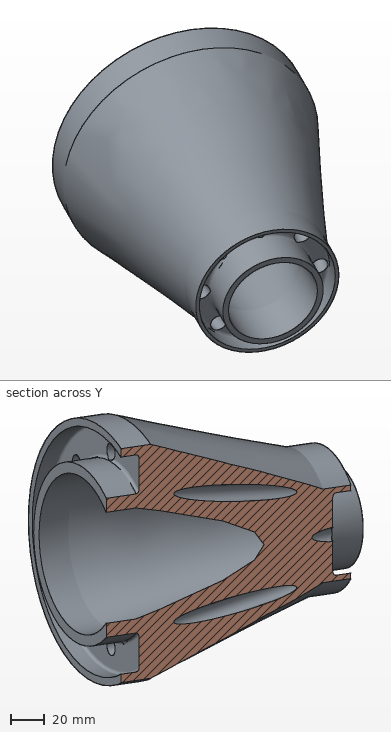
import cadquery as cq


total_length = 175.0
spigot_projection = 10.0
flange_width = 20.0
collar_width = 18.7
recess_depth = 12.0
entry_bore_depth = 20.0

flange_diameter = 160.0
recess_diameter = 150.2
spigot_diameter = 110.0
entry_bore_diameter = 96.8
collar_diameter = 90.0
nose_recess_diameter = 85.4
nose_diameter = 63.0
exit_bore_diameter = 55.8
duct_entry_circle_diameter = 120.0
duct_diameter = 10.2

recess_fillet = 2.0
flank_sag = 0.7
duct_count = 8

flange_start = spigot_projection
flange_end = flange_start + flange_width
recess_floor = flange_start + recess_depth
collar_end = total_length - spigot_projection
collar_start = collar_end - collar_width
nose_floor = collar_end - recess_depth

duct_entry_radius = duct_entry_circle_diameter / 2
duct_exit_radius = (nose_recess_diameter + nose_diameter) / 4


def make_body():
    """Revolve the solid outer outline, with a slightly concave flank."""
    flank_middle = (
        (flange_end + collar_start) / 2,
        (flange_diameter + collar_diameter) / 4 - flank_sag,
    )
    outline = (
        cq.Workplane("XY")
        .lineTo(0, spigot_diameter / 2)
        .lineTo(flange_start, spigot_diameter / 2)
        .lineTo(flange_start, flange_diameter / 2)
        .lineTo(flange_end, flange_diameter / 2)
        .threePointArc(flank_middle, (collar_start, collar_diameter / 2))
        .lineTo(collar_end, collar_diameter / 2)
        .lineTo(collar_end, nose_diameter / 2)
        .lineTo(total_length, nose_diameter / 2)
        .lineTo(total_length, 0)
        .close()
    )
    return outline.revolve(360, (0, 0, 0), (1, 0, 0))


def make_bore():
    """Straight entry, tapered middle and straight exit of the central bore."""
    outline = (
        cq.Workplane("XY")
        .lineTo(0, entry_bore_diameter / 2)
        .lineTo(entry_bore_depth, entry_bore_diameter / 2)
        .lineTo(collar_start, exit_bore_diameter / 2)
        .lineTo(total_length, exit_bore_diameter / 2)
        .lineTo(total_length, 0)
        .close()
    )
    return outline.revolve(360, (0, 0, 0), (1, 0, 0))


def make_recess(face_x, outer_diameter, inner_diameter, depth):
    """Ring recess cut in from face_x along X (signed depth), rounded along its floor."""
    floor_side = ">X" if depth > 0 else "<X"
    return (
        cq.Workplane("YZ", origin=(face_x, 0, 0))
        .circle(outer_diameter / 2)
        .circle(inner_diameter / 2)
        .extrude(depth)
        .faces(floor_side)
        .edges()
        .fillet(recess_fillet)
    )


def make_duct(angle):
    """Slanted duct joining the two recess floors at an angle about X."""
    run = nose_floor - recess_floor
    slope = (duct_exit_radius - duct_entry_radius) / run
    start = cq.Vector(recess_floor - recess_fillet, 0, duct_entry_radius - slope * recess_fillet)
    end = cq.Vector(nose_floor + recess_fillet, 0, duct_exit_radius + slope * recess_fillet)
    axis = end - start
    duct = cq.Solid.makeCylinder(duct_diameter / 2, axis.Length, start, axis)
    return duct.rotate(cq.Vector(0, 0, 0), cq.Vector(1, 0, 0), angle)


flange_recess = make_recess(flange_start, recess_diameter, spigot_diameter, recess_depth)
nose_recess = make_recess(collar_end, nose_recess_diameter, nose_diameter, -recess_depth)

result = make_body().cut(make_bore()).cut(flange_recess).cut(nose_recess)
for index in range(duct_count):
    result = result.cut(cq.Workplane(obj=make_duct(index * 360 / duct_count)))